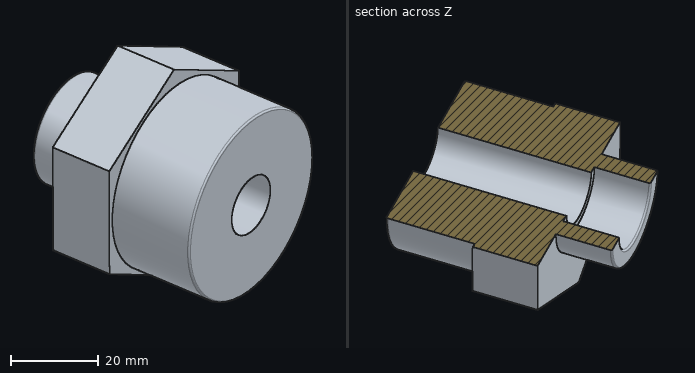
import cadquery as cq
import math

spigot_diameter = 27.95
spigot_length = 13.9
hex_corner_diameter = 57.75
hex_length = 16.15
hex_tilt = 0.2
body_diameter = 47.8
total_length = 52.0
socket_diameter = 18.65
socket_depth = spigot_length
bore_diameter = 14.9
edge_radius = 0.45

hex_end = spigot_length + hex_length
body_length = total_length - hex_end


def cylinder(start, length, diameter):
    """Round bar along +X from the given X position."""
    return cq.Workplane("YZ", origin=(start, 0, 0)).circle(diameter / 2).extrude(length)


def hexagon_point(index):
    """Corner of the hexagon in the YZ plane."""
    angle = math.radians(90 + hex_tilt + 60 * index)
    radius = hex_corner_diameter / 2
    return (radius * math.cos(angle), radius * math.sin(angle))


spigot = cylinder(0, spigot_length, spigot_diameter)
hexagon = (
    cq.Workplane("YZ", origin=(spigot_length, 0, 0))
    .polyline([hexagon_point(index) for index in range(6)])
    .close()
    .extrude(hex_length)
)
body = cylinder(hex_end, body_length, body_diameter)

bore = cylinder(0, total_length, bore_diameter)
socket = cylinder(0, socket_depth, socket_diameter)

rounded_spigot = spigot.cut(socket).faces("<X").edges().fillet(edge_radius)
rounded_body = body.faces(">X").edges().fillet(edge_radius)

result = rounded_spigot.union(hexagon).union(rounded_body).cut(bore)